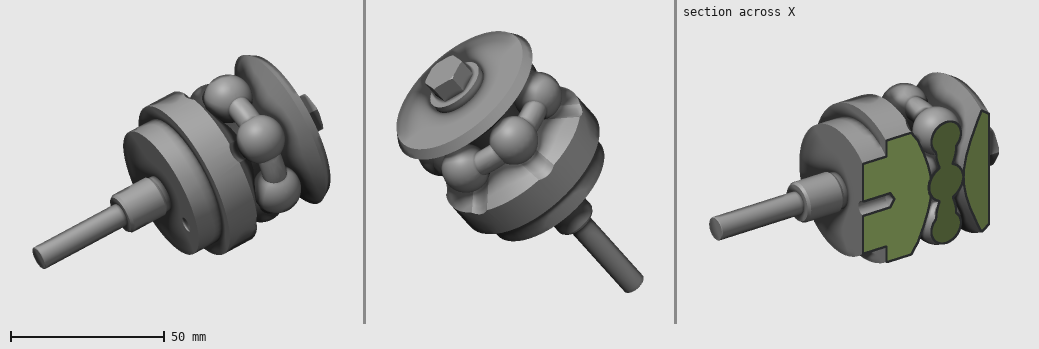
import cadquery as cq
import math


OUTER_RADIUS = 27.2
CONE_ANGLE = math.radians(30)
CONE_SLOPE = math.tan(CONE_ANGLE)
HUB_RADIUS = 11.2

BOLT_TOP_Y = 26.2
BOLT_LENGTH = 106.4
FLANGE_TOP_Y = 19.7
FLANGE_RADIUS = 9.8
HEX_SIDES = 6
HEX_ACROSS_FLATS = 13.0
HEX_CORNER_RADIUS = HEX_ACROSS_FLATS / 2 / math.cos(math.pi / HEX_SIDES)
HEX_CHAMFER_RADIUS = 6.9
HEX_CHAMFER_SLOPE = math.tan(math.radians(30))
SHAFT_DIAMETER = 8.0
SHAFT_RADIUS = SHAFT_DIAMETER / 2
SHAFT_CHAMFER = 0.2

BALL_COUNT = 6
BALL_STEP = 360 / BALL_COUNT
BALL_DIAMETER = 16
BALL_RADIUS = BALL_DIAMETER / 2
BALL_CIRCLE_RADIUS = OUTER_RADIUS - BALL_RADIUS
RING_BAR_DIAMETER = 8.0
RING_BAR_RADIUS = RING_BAR_DIAMETER / 2

DISC_BACK_Y = 16.9
DISC_RIM_Y = (BALL_RADIUS + (OUTER_RADIUS - BALL_CIRCLE_RADIUS) * math.sin(CONE_ANGLE)) / math.cos(CONE_ANGLE)
DISC_CONE_END_Y = DISC_RIM_Y - (OUTER_RADIUS - HUB_RADIUS) * CONE_SLOPE
DISC_BACK_RADIUS = OUTER_RADIUS - (DISC_BACK_Y - DISC_RIM_Y) * CONE_SLOPE

BASE_RIM_Y = -12.8
BASE_CONE_TOP_Y = BASE_RIM_Y + (OUTER_RADIUS - HUB_RADIUS) * CONE_SLOPE
BASE_STEP_Y = -23.5
BASE_STEP_RADIUS = 22.6
BASE_END_Y = -32.6
COLLAR_RADIUS = 6.9
COLLAR_CHAMFER = 0.6
NECK_RADIUS = COLLAR_RADIUS - COLLAR_CHAMFER
NECK_END_Y = -34.2
COLLAR_START_Y = -35.1
COLLAR_END_Y = -48.3
COLLAR_CHAMFER_LENGTH = 1.0
PIN_HOLE_RADIUS = 2.6
PIN_HOLE_X = 15.0
PIN_HOLE_DEPTH = 10.6
PIN_HOLE_TIP_ANGLE = 118


def turned(profile):
    """Revolve (radius, y) points about the Y axis."""
    return cq.Workplane("XY").polyline(profile).close().revolve(360, (0, 0, 0), (0, 1, 0))


def along_y(start_y):
    """Workplane facing -Y at the given height, with its x axis along +X."""
    return cq.Workplane("XZ", origin=(0, start_y, 0))


def make_bolt():
    """Hexagon bolt with a round flange and a shaft that runs through the whole stack."""
    chamfer_drop = (HEX_CORNER_RADIUS - HEX_CHAMFER_RADIUS) * HEX_CHAMFER_SLOPE
    head_height = BOLT_TOP_Y - FLANGE_TOP_Y
    head = along_y(BOLT_TOP_Y).polygon(HEX_SIDES, 2 * HEX_CORNER_RADIUS).extrude(head_height)
    head_envelope = turned([
        (0, FLANGE_TOP_Y),
        (HEX_CORNER_RADIUS, FLANGE_TOP_Y),
        (HEX_CORNER_RADIUS, BOLT_TOP_Y - chamfer_drop),
        (HEX_CHAMFER_RADIUS, BOLT_TOP_Y),
        (0, BOLT_TOP_Y),
    ])
    flange = along_y(FLANGE_TOP_Y).circle(FLANGE_RADIUS).extrude(FLANGE_TOP_Y - DISC_BACK_Y)
    shaft_length = BOLT_LENGTH - head_height
    shaft = along_y(FLANGE_TOP_Y).circle(SHAFT_RADIUS).extrude(shaft_length)
    shaft = shaft.faces("<Y").chamfer(SHAFT_CHAMFER)
    return head.intersect(head_envelope).union(flange).union(shaft)


def make_disc():
    """Conical disc under the bolt flange, with a hub that rests on the base."""
    return turned([
        (SHAFT_RADIUS, BASE_CONE_TOP_Y),
        (HUB_RADIUS, BASE_CONE_TOP_Y),
        (HUB_RADIUS, DISC_CONE_END_Y),
        (OUTER_RADIUS, DISC_RIM_Y),
        (DISC_BACK_RADIUS, DISC_BACK_Y),
        (SHAFT_RADIUS, DISC_BACK_Y),
    ])


def make_ball_ring():
    """Balls spaced evenly along a round ring that runs through their centres."""
    ring = cq.Workplane("XY").center(BALL_CIRCLE_RADIUS, 0).circle(RING_BAR_RADIUS)
    ring = ring.revolve(360, (-BALL_CIRCLE_RADIUS, 0, 0), (-BALL_CIRCLE_RADIUS, 1, 0))
    ball = cq.Workplane("XY").sphere(BALL_RADIUS).translate((BALL_CIRCLE_RADIUS, 0, 0))
    for index in range(BALL_COUNT):
        ring = ring.union(ball.rotate((0, 0, 0), (0, 1, 0), index * BALL_STEP))
    return ring


def make_groove_cutter():
    """Path of one ball sliding parallel to the base cone."""
    outward = cq.Vector(1, -CONE_SLOPE, 0).normalized()
    centre = cq.Vector(BALL_CIRCLE_RADIUS, 0, 0)
    start = centre - outward * BALL_CIRCLE_RADIUS
    return cq.Workplane(cq.Solid.makeCylinder(BALL_RADIUS, 2 * OUTER_RADIUS, start, outward))


def make_base():
    """Grooved cone with a stepped rim and collar, bored for the shaft."""
    base = turned([
        (SHAFT_RADIUS, BASE_CONE_TOP_Y),
        (HUB_RADIUS, BASE_CONE_TOP_Y),
        (OUTER_RADIUS, BASE_RIM_Y),
        (OUTER_RADIUS, BASE_STEP_Y),
        (BASE_STEP_RADIUS, BASE_STEP_Y),
        (BASE_STEP_RADIUS, BASE_END_Y),
        (NECK_RADIUS, BASE_END_Y),
        (NECK_RADIUS, NECK_END_Y),
        (COLLAR_RADIUS, COLLAR_START_Y),
        (COLLAR_RADIUS, COLLAR_END_Y + COLLAR_CHAMFER_LENGTH),
        (COLLAR_RADIUS - COLLAR_CHAMFER, COLLAR_END_Y),
        (SHAFT_RADIUS, COLLAR_END_Y),
    ])
    groove = make_groove_cutter()
    for index in range(BALL_COUNT):
        base = base.cut(groove.rotate((0, 0, 0), (0, 1, 0), index * BALL_STEP))
    return base.cut(make_pin_hole())


def make_pin_hole():
    """Blind drilled hole with a conical bottom, beside the collar."""
    tip_length = PIN_HOLE_RADIUS / math.tan(math.radians(PIN_HOLE_TIP_ANGLE / 2))
    floor_y = BASE_END_Y + PIN_HOLE_DEPTH
    hole = turned([
        (0, BASE_END_Y),
        (PIN_HOLE_RADIUS, BASE_END_Y),
        (PIN_HOLE_RADIUS, floor_y),
        (0, floor_y + tip_length),
    ])
    return hole.translate((PIN_HOLE_X, 0, 0))


bolt = make_bolt()
disc = make_disc()
ball_ring = make_ball_ring()
base = make_base()

result = cq.Compound.makeCompound([
    bolt.solids().val(),
    disc.solids().val(),
    ball_ring.solids().val(),
    base.solids().val(),
])